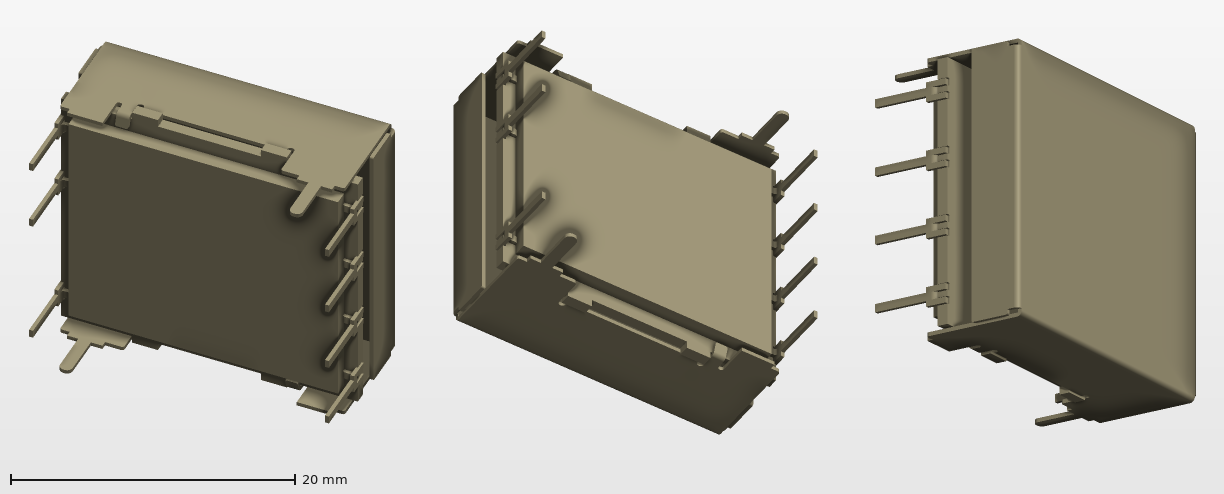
import cadquery as cq
import math


TOTAL_WIDTH = 23.15
TOTAL_DEPTH = 12.0
TOTAL_HEIGHT = 21.1

SHEET = 0.3
BEND_RADIUS = 0.4
COVER_WIDTH = 22.8
COVER_HEIGHT = 20.75
WALL_HALF_WIDTH = 11.0
SIDE_FRONT_Y = 8.01
SIDE_SHOULDER_Y = 11.05
SIDE_HEIGHT = 20.43
SIDE_BEND_HEIGHT = 19.65
SIDE_CORNER_RADIUS = 0.16
WALL_FRONT_Y = 3.95
WALL_CORNER_RADIUS = 0.19

FOOT_Y = 3.52
FOOT_INNER_X = 7.5
FOOT_OUTER_X = 10.24
PIN_X = 8.9
PIN_WIDTH = 0.97
PIN_TIP_RADIUS = 0.45

NOTCH_HALF_WIDTH = 6.07
RELIEF_WIDTH = 0.53
RELIEF_DEPTH = 0.45
RELIEF_ROUNDING = 0.45
FINGER_WIDTH = 1.0
FINGER_BEND_Y = 5.25
FINGER_ANGLE = 72.0
FINGER_LENGTH = 0.75
FINGER_TIP_RADIUS = 0.15

PLATE_WIDTH = 22.93
PLATE_HEIGHT = 19.92
PLATE_FRONT_Y = 5.2
PLATE_BACK_Y = 6.05
PLATE_TAB_INNER_X = 3.98
PLATE_TAB_OUTER_X = 5.98
BLOCK_WIDTH = 20.82
BLOCK_HEIGHT = 17.55
BLOCK_FRONT_Y = 4.15

TERMINAL_PITCH = 5.1
TERMINAL_ROWS_LEFT = (-1.5, 0.5, 1.5)
TERMINAL_ROWS_RIGHT = (-1.5, -0.5, 0.5, 1.5)
TERMINAL_SHEET = 0.3
TERMINAL_PIN_WIDTH = 0.63
HEAD_WIDTH = 1.45
HEAD_FRONT_Y = 4.3
FORK_TIP_Y = 5.95
FORK_GAP = 0.58
FORK_ROOT_Y = 4.72
TONGUE_FLAT_LENGTH = 0.42
FORK_CLEARANCE = 0.07
NOTCH_CORNER_RADIUS = 0.1


def box(x0, x1, y0, y1, z0, z1):
    """Axis-aligned block between two opposite corners."""
    return cq.Workplane("XY").box(x1 - x0, y1 - y0, z1 - z0, centered=False).translate((x0, y0, z0))


def mirror_x(shape):
    """Shape together with its mirror image across X = 0."""
    return shape.union(shape.mirror("YZ"))


def half_turn(shape):
    """Shape turned half a turn about the Y axis, from the top wall to the bottom wall."""
    return shape.rotate((0, 0, 0), (0, 1, 0), 180)


def rounded_slab(x, z, bend_edges):
    """Back slab of the cover, of half sizes x and z, with its two bend edges rounded."""
    slab = box(-x, x, SIDE_SHOULDER_Y, TOTAL_DEPTH, -z, z)
    return slab.edges(">Y").edges(bend_edges).fillet(BEND_RADIUS)


def folded_back():
    """Back of the cover with the start of its four bent-over walls."""
    inner_x = COVER_WIDTH / 2 - SHEET
    inner_z = COVER_HEIGHT / 2 - SHEET
    inner_y = TOTAL_DEPTH - SHEET
    top_bends = rounded_slab(WALL_HALF_WIDTH, COVER_HEIGHT / 2, "|X")
    top_bends = top_bends.cut(
        box(-WALL_HALF_WIDTH, WALL_HALF_WIDTH, SIDE_SHOULDER_Y, inner_y, -inner_z, inner_z)
    )
    side_bends = rounded_slab(COVER_WIDTH / 2, SIDE_BEND_HEIGHT / 2, "|Z")
    side_bends = side_bends.cut(
        box(-inner_x, inner_x, SIDE_SHOULDER_Y, inner_y, -inner_z, inner_z)
    )
    return top_bends.union(side_bends)


def side_wall():
    """Flat part of the left side wall, taller than its bend, with rounded corners."""
    outer_x = -COVER_WIDTH / 2
    wall = box(outer_x, outer_x + SHEET, SIDE_FRONT_Y, SIDE_SHOULDER_Y, -SIDE_HEIGHT / 2, SIDE_HEIGHT / 2)
    return wall.edges("|X").fillet(SIDE_CORNER_RADIUS)


def spring_finger():
    """Finger at the left of the notch, bent inwards at its root."""
    angle = math.radians(FINGER_ANGLE)
    outer_z = COVER_HEIGHT / 2
    inner_radius = BEND_RADIUS - SHEET
    centre = (FINGER_BEND_Y, outer_z - BEND_RADIUS)

    def on_bend(radius, turn):
        return (centre[0] - radius * math.sin(turn), centre[1] + radius * math.cos(turn))

    def beyond_bend(radius):
        y, z = on_bend(radius, angle)
        return (y - FINGER_LENGTH * math.cos(angle), z - FINGER_LENGTH * math.sin(angle))

    finger = (
        cq.Workplane("YZ")
        .moveTo(PLATE_BACK_Y, outer_z)
        .lineTo(*on_bend(BEND_RADIUS, 0))
        .threePointArc(on_bend(BEND_RADIUS, angle / 2), on_bend(BEND_RADIUS, angle))
        .lineTo(*beyond_bend(BEND_RADIUS))
        .lineTo(*beyond_bend(inner_radius))
        .lineTo(*on_bend(inner_radius, angle))
        .threePointArc(on_bend(inner_radius, angle / 2), on_bend(inner_radius, 0))
        .lineTo(PLATE_BACK_Y, outer_z - SHEET)
        .close()
        .extrude(FINGER_WIDTH)
    )
    tip = cq.selectors.DirectionMinMaxSelector(cq.Vector(0, -math.cos(angle), -math.sin(angle)))
    finger = finger.faces(tip).edges("not |X").fillet(FINGER_TIP_RADIUS)
    return finger.translate((-NOTCH_HALF_WIDTH - FINGER_WIDTH, 0, 0))


def relief_cut(left_x, width, depth):
    """Round-ended cut through the top wall, reaching back past the base plate."""
    wall_z = COVER_HEIGHT / 2
    end_y = PLATE_BACK_Y + depth
    cut = box(left_x, left_x + width, 0, end_y, wall_z - SHEET, wall_z)
    return cut.edges("|Z and >Y").fillet(RELIEF_ROUNDING * width)


def top_wall():
    """Top wall of the cover: feet, one pin, the notch for the base plate and its finger."""
    wall_z = COVER_HEIGHT / 2
    inner_z = wall_z - SHEET
    slot_width = FOOT_INNER_X - NOTCH_HALF_WIDTH - FINGER_WIDTH

    wall = box(-WALL_HALF_WIDTH, WALL_HALF_WIDTH, WALL_FRONT_Y, SIDE_SHOULDER_Y, inner_z, wall_z)
    wall = wall.cut(
        box(-NOTCH_HALF_WIDTH - FINGER_WIDTH, NOTCH_HALF_WIDTH, WALL_FRONT_Y, PLATE_BACK_Y, inner_z, wall_z)
    )
    wall = wall.edges("|Z and <Y").fillet(WALL_CORNER_RADIUS)

    foot = box(FOOT_INNER_X, FOOT_OUTER_X, FOOT_Y, PLATE_FRONT_Y, inner_z, wall_z)
    wall = wall.union(mirror_x(foot))

    pin = box(PIN_X - PIN_WIDTH / 2, PIN_X + PIN_WIDTH / 2, 0, PLATE_FRONT_Y, inner_z, wall_z)
    wall = wall.union(pin.edges("|Z and <Y").fillet(PIN_TIP_RADIUS))

    wall = wall.cut(relief_cut(-FOOT_INNER_X, slot_width, 0))
    wall = wall.cut(relief_cut(-NOTCH_HALF_WIDTH, RELIEF_WIDTH, RELIEF_DEPTH))
    wall = wall.cut(relief_cut(NOTCH_HALF_WIDTH - RELIEF_WIDTH, RELIEF_WIDTH, RELIEF_DEPTH))
    return wall.union(spring_finger())


def base_plate():
    """Base plate with two tabs on its top and bottom edges and the block on its front."""
    x = PLATE_WIDTH / 2
    z = PLATE_HEIGHT / 2
    plate = box(-x, x, PLATE_FRONT_Y, PLATE_BACK_Y, -z, z)
    tab = box(
        PLATE_TAB_INNER_X, PLATE_TAB_OUTER_X, PLATE_FRONT_Y, PLATE_BACK_Y,
        -TOTAL_HEIGHT / 2, TOTAL_HEIGHT / 2,
    )
    block_x = BLOCK_WIDTH / 2
    block_z = BLOCK_HEIGHT / 2
    block = box(-block_x, block_x, BLOCK_FRONT_Y, PLATE_FRONT_Y, -block_z, block_z)
    return plate.union(mirror_x(tab)).union(block)


def fork_notches():
    """Pair of notches in the left edge of the base plate that clear a terminal's fork."""
    outer_x = -TOTAL_WIDTH / 2
    inner_x = outer_x + TERMINAL_SHEET + FORK_CLEARANCE
    z0 = FORK_GAP / 2 - FORK_CLEARANCE
    z1 = HEAD_WIDTH / 2 + FORK_CLEARANCE
    notch = box(outer_x, inner_x, PLATE_FRONT_Y, PLATE_BACK_Y, z0, z1)
    notch = notch.edges("|Y and >X").fillet(NOTCH_CORNER_RADIUS)
    return notch.union(notch.mirror("XY"))


def terminal():
    """Left-hand terminal at Z = 0: pin, forked head and a tongue bent onto the base plate."""
    outer_x = -TOTAL_WIDTH / 2
    inner_x = outer_x + TERMINAL_SHEET
    pin_z = TERMINAL_PIN_WIDTH / 2
    head_z = HEAD_WIDTH / 2
    gap_z = FORK_GAP / 2
    pin = box(outer_x, inner_x, 0, FORK_ROOT_Y, -pin_z, pin_z)
    head = box(outer_x, inner_x, HEAD_FRONT_Y, FORK_TIP_Y, -head_z, head_z)
    gap = box(outer_x, inner_x, FORK_ROOT_Y, FORK_TIP_Y, -gap_z, gap_z)

    outer_radius = PLATE_FRONT_Y - FORK_ROOT_Y
    inner_radius = outer_radius - TERMINAL_SHEET
    diagonal = math.sqrt(0.5)
    bend_x = outer_x + outer_radius
    curve_x = bend_x + TONGUE_FLAT_LENGTH
    front_y = PLATE_FRONT_Y - TERMINAL_SHEET
    curve_y = front_y + outer_radius
    tongue = (
        cq.Workplane("XY")
        .moveTo(outer_x, FORK_ROOT_Y)
        .threePointArc(
            (bend_x - outer_radius * diagonal, FORK_ROOT_Y + outer_radius * diagonal),
            (bend_x, PLATE_FRONT_Y),
        )
        .lineTo(bend_x, curve_y)
        .lineTo(curve_x + outer_radius, curve_y)
        .threePointArc(
            (curve_x + outer_radius * diagonal, curve_y - outer_radius * diagonal),
            (curve_x, front_y),
        )
        .lineTo(bend_x, front_y)
        .threePointArc(
            (bend_x - inner_radius * diagonal, FORK_ROOT_Y + inner_radius * diagonal),
            (inner_x, FORK_ROOT_Y),
        )
        .close()
        .extrude(gap_z, both=True)
    )
    return pin.union(head).cut(gap).union(tongue)


wall = top_wall()
cover = folded_back().union(mirror_x(side_wall())).union(wall).union(half_turn(wall))

left_notches = fork_notches()
left_terminal = terminal()
right_notches = left_notches.mirror("YZ")
right_terminal = left_terminal.mirror("YZ")
sides = (
    (TERMINAL_ROWS_LEFT, left_notches, left_terminal),
    (TERMINAL_ROWS_RIGHT, right_notches, right_terminal),
)
plate = base_plate()
for rows, side_notches, side_terminal in sides:
    for row in rows:
        place = (0, 0, row * TERMINAL_PITCH)
        plate = plate.cut(side_notches.translate(place)).union(side_terminal.translate(place))

result = cover.union(plate)